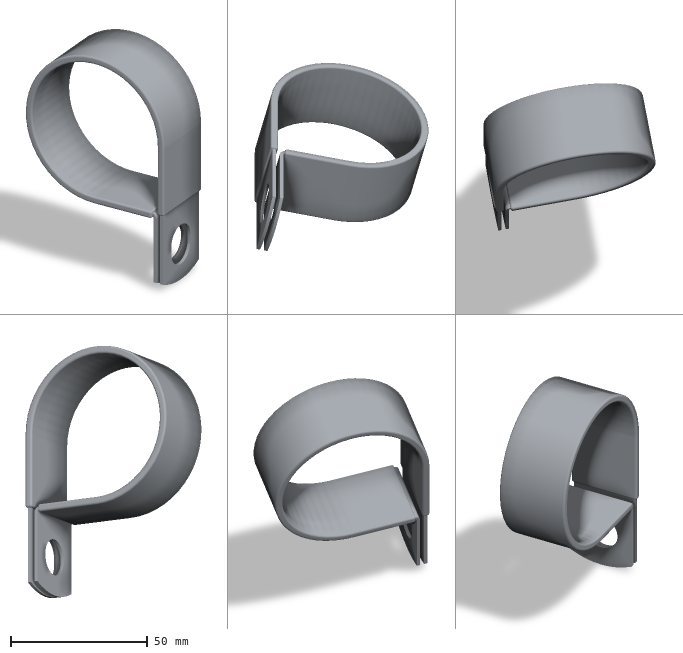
import cadquery as cq
import math


strap_width = 25.4
strap_thickness = 1.22
bend_inner_radius = 0.794
leg_gap = 1.588

cushion_thickness = 0.794
bore_radius = 26.988
front_end_x = 24.4
back_end_z = -27.7

leg_bottom_z = -58.725
hole_diameter = 13.494
back_slot_length = 15.875
hole_z = -44.4
tip_rise = 2.95

strap_inner_radius = bore_radius + cushion_thickness
strap_outer_radius = strap_inner_radius + strap_thickness
cushion_outer_radius = strap_outer_radius + cushion_thickness
cushion_width = strap_width + 2 * cushion_thickness
front_leg_outer_x = strap_inner_radius - leg_gap
front_leg_inner_x = front_leg_outer_x - strap_thickness
bend_outer_radius = bend_inner_radius + strap_thickness
bend_center_x = front_leg_outer_x - bend_outer_radius
bend_center_z = -strap_outer_radius - bend_inner_radius
half_strap_width = strap_width / 2
leg_shoulder_z = leg_bottom_z + tip_rise


def upper_left_of_arc(radius):
    """Middle point of the 270 degree loop arc, which runs from +X over the top to -Z."""
    return (-radius * math.cos(math.pi / 4), radius * math.sin(math.pi / 4))


def bend_middle(radius):
    """Middle point of the quarter bend between the lower run and the front leg."""
    reach = radius * math.cos(math.pi / 4)
    return (bend_center_x + reach, bend_center_z + reach)


def extrude_about_xz(profile, width):
    return profile.close().extrude(width / 2, both=True)


def make_strap():
    """Constant-thickness strip: back leg, loop, lower run, bend and front leg."""
    profile = (
        cq.Workplane("XZ")
        .moveTo(strap_outer_radius, leg_bottom_z)
        .lineTo(strap_outer_radius, 0)
        .threePointArc(upper_left_of_arc(strap_outer_radius), (0, -strap_outer_radius))
        .lineTo(bend_center_x, -strap_outer_radius)
        .threePointArc(bend_middle(bend_inner_radius), (front_leg_inner_x, bend_center_z))
        .lineTo(front_leg_inner_x, leg_bottom_z)
        .lineTo(front_leg_outer_x, leg_bottom_z)
        .lineTo(front_leg_outer_x, bend_center_z)
        .threePointArc(bend_middle(bend_outer_radius), (bend_center_x, -strap_inner_radius))
        .lineTo(0, -strap_inner_radius)
        .threePointArc(upper_left_of_arc(strap_inner_radius), (strap_inner_radius, 0))
        .lineTo(strap_inner_radius, leg_bottom_z)
    )
    return extrude_about_xz(profile, strap_width)


def make_leg_envelope():
    """Side outline of the strap with rounded leg tips, as a block spanning the whole part in X."""
    outline = (
        cq.Workplane("YZ")
        .moveTo(-half_strap_width, strap_outer_radius)
        .lineTo(-half_strap_width, leg_shoulder_z)
        .threePointArc((0, leg_bottom_z), (half_strap_width, leg_shoulder_z))
        .lineTo(half_strap_width, strap_outer_radius)
    )
    return extrude_about_xz(outline, 2 * cushion_outer_radius)


def make_front_hole():
    """Round hole cutter for the front leg."""
    return (
        cq.Workplane("YZ", origin=(front_leg_inner_x, 0, hole_z))
        .circle(hole_diameter / 2)
        .extrude(strap_thickness)
    )


def make_back_slot():
    """Cutter for the back leg: the round hole lengthened equally up and down."""
    return (
        cq.Workplane("YZ", origin=(strap_inner_radius, 0, hole_z))
        .slot2D(back_slot_length, hole_diameter, 90)
        .extrude(strap_thickness)
    )


def make_cushion():
    """Wrap around the loop, with every edge rounded by the cushion thickness."""
    profile = (
        cq.Workplane("XZ")
        .moveTo(cushion_outer_radius, back_end_z)
        .lineTo(cushion_outer_radius, 0)
        .threePointArc(upper_left_of_arc(cushion_outer_radius), (0, -cushion_outer_radius))
        .lineTo(front_end_x, -cushion_outer_radius)
        .lineTo(front_end_x, -bore_radius)
        .lineTo(0, -bore_radius)
        .threePointArc(upper_left_of_arc(bore_radius), (bore_radius, 0))
        .lineTo(bore_radius, back_end_z)
    )
    cushion = extrude_about_xz(profile, cushion_width)
    side_edges = cushion.faces("<Y or >Y").edges()
    end_edges = cushion.faces(cq.selectors.BoxSelector(
        (front_end_x - cushion_thickness, -cushion_width, -cushion_outer_radius),
        (cushion_outer_radius, cushion_width, back_end_z + cushion_thickness),
    )).edges("|Y")
    return side_edges.add(end_edges).fillet(cushion_thickness)


strap = make_strap().intersect(make_leg_envelope())
strap = strap.cut(make_front_hole()).cut(make_back_slot())
result = strap.union(make_cushion())